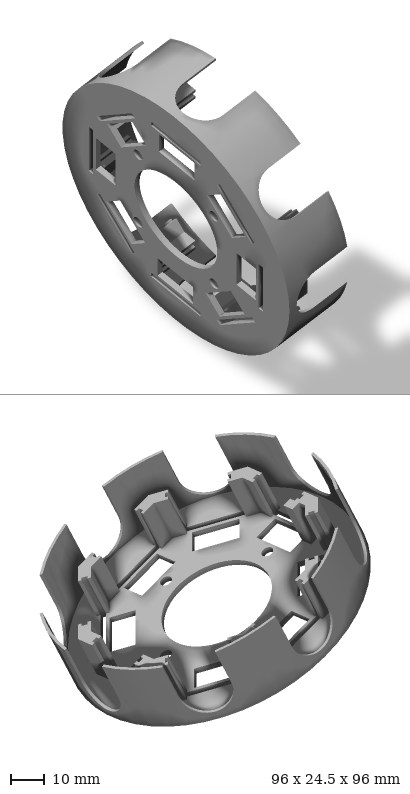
import cadquery as cq
import math

overall_depth = 24.5
shell_radius = 48.0
shell_wall = 1.0
plate_thickness = 2.0
station_count = 8
station_angle = 360.0 / station_count

cutout_width = 16.7
cutout_floor = 3.0

bore_radius = 17.5
screw_hole_diameter = 3.7
screw_hole_offset = 16.0
window_length = 15.0
window_width = 8.3
window_radius = 29.8
window_shift = 0.3
slot_length = 20.9
slot_width = 1.8
slot_radius = 35.9

column_top = 17.1
column_wall = 1.2
groove_depth = 1.1

block_station = -45.0
block_edge = 7.4
block_length = 4.0
block_depth = 3.0

column_outer = slot_radius + slot_width / 2 + column_wall
column_inner = slot_radius - slot_width / 2 - column_wall
column_gap = slot_length - 2 * groove_depth


def on_front(start):
    """Workplane parallel to the plate at the given depth; local X is X and local Y is Z."""
    return cq.Workplane("XZ", origin=(0, start, 0))


def prism(sketch, depth):
    """Extrude a front-plane sketch towards the rear."""
    return sketch.extrude(-depth)


def at_stations(shape):
    """Union of copies of a shape turned about the Y axis, one per station."""
    copies = shape
    for index in range(1, station_count):
        copies = copies.union(shape.rotate((0, 0, 0), (0, 1, 0), index * station_angle))
    return copies


def make_shell():
    solid = prism(on_front(0).circle(shell_radius), overall_depth)
    cavity = prism(on_front(plate_thickness).circle(shell_radius - shell_wall), overall_depth)
    return solid.cut(cavity)


def make_cutouts():
    radius = cutout_width / 2
    arc_centre = cutout_floor + radius
    arch = (
        cq.Workplane("XY", origin=(0, 0, column_outer))
        .moveTo(-radius, overall_depth)
        .lineTo(-radius, arc_centre)
        .threePointArc((0, cutout_floor), (radius, arc_centre))
        .lineTo(radius, overall_depth)
        .close()
        .extrude(shell_radius)
    )
    return at_stations(arch)


def make_columns():
    corner_scale = 2 / math.cos(math.radians(station_angle / 2))
    ring = prism(
        on_front(0)
        .polygon(station_count, column_outer * corner_scale)
        .polygon(station_count, column_inner * corner_scale),
        column_top,
    ).rotate((0, 0, 0), (0, 1, 0), station_angle / 2)
    gap_width = 2 * (column_outer - column_inner)
    gap = prism(
        on_front(plate_thickness).center(0, slot_radius).rect(column_gap, gap_width),
        column_top,
    )
    return ring.cut(at_stations(gap))


def make_block():
    centre_across = -block_edge - block_length / 2
    centre_out = column_inner - block_depth / 2
    block = prism(
        on_front(0).center(centre_across, centre_out).rect(block_length, block_depth),
        column_top,
    )
    return block.rotate((0, 0, 0), (0, 1, 0), block_station)


def make_slots():
    slot = prism(on_front(0).center(0, slot_radius).rect(slot_length, slot_width), overall_depth)
    return at_stations(slot)


def make_windows():
    window = prism(
        on_front(0).center(window_shift, window_radius).rect(window_length, window_width),
        plate_thickness,
    )
    return at_stations(window)


def make_round_holes():
    bore = prism(on_front(0).circle(bore_radius), plate_thickness)
    screw_holes = prism(
        on_front(0)
        .rect(2 * screw_hole_offset, 2 * screw_hole_offset, forConstruction=True)
        .vertices()
        .circle(screw_hole_diameter / 2),
        plate_thickness,
    )
    return bore.union(screw_holes)


result = (
    make_shell()
    .cut(make_cutouts())
    .union(make_columns())
    .union(make_block())
    .cut(make_slots())
    .cut(make_windows())
    .cut(make_round_holes())
)